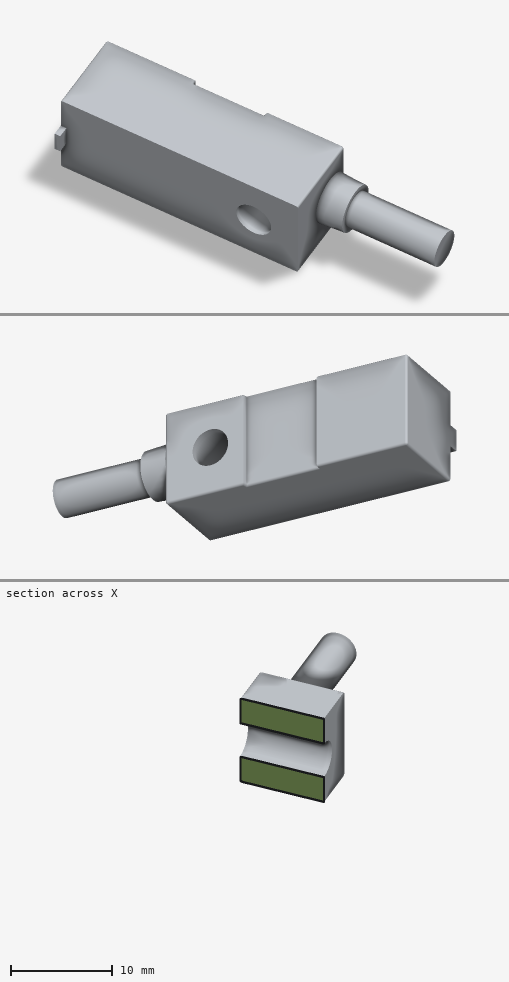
import cadquery as cq

total_length = 40.0
body_length = 27.0
body_depth = 9.0
body_height = 10.0
edge_radius = 0.25
mid_height = body_height / 2

notch_start = 10.1
notch_end = 18.25
notch_depth = 0.5
notch_wall_run = 0.1

hole_x = 21.95
hole_diameter = 3.95

tab_length = 0.65
tab_height = 2.3
tab_projection = 1.2

cable_diameter = 3.9
cable_back_offset = 2.75
relief_base_diameter = 5.5
relief_tip_diameter = 5.15
relief_length = 2.9


def make_housing():
    """Notched block, rounded on every edge except those of the front face."""
    notch_floor = body_depth - notch_depth
    outline = [
        (0, 0),
        (body_length, 0),
        (body_length, body_depth),
        (notch_end, body_depth),
        (notch_end - notch_wall_run, notch_floor),
        (notch_start + notch_wall_run, notch_floor),
        (notch_start, body_depth),
        (0, body_depth),
    ]
    block = cq.Workplane("XY").polyline(outline).close().extrude(body_height)
    end_edges = block.faces("<X or >X").edges("not(<Y)")
    side_edges = block.faces("<Z or >Z").edges("not(<Y)")
    return end_edges.add(side_edges).fillet(edge_radius)


def make_tab():
    """Small rectangular tab flush with the left end."""
    tab_depth = tab_projection + edge_radius
    tab = cq.Workplane("XY").box(tab_length, tab_depth, tab_height, centered=(False, False, True))
    return tab.translate((0, -tab_projection, mid_height))


def make_cable():
    """Cable with a tapered strain relief, turned about one axis along X."""
    cable_radius = cable_diameter / 2
    relief_end = body_length + relief_length
    profile = [
        (body_length, 0),
        (body_length, relief_base_diameter / 2),
        (relief_end, relief_tip_diameter / 2),
        (relief_end, cable_radius),
        (total_length, cable_radius),
        (total_length, 0),
    ]
    turned = cq.Workplane("XY").polyline(profile).close().revolve(360, (0, 0, 0), (1, 0, 0))
    return turned.translate((0, body_depth - cable_back_offset, mid_height))


def make_mounting_hole():
    """Cutter for the plain through hole, entering from the front."""
    front = cq.Workplane("XZ", origin=(hole_x, 0, mid_height))
    return front.circle(hole_diameter / 2).extrude(-body_depth)


result = make_housing().union(make_tab()).union(make_cable()).cut(make_mounting_hole())